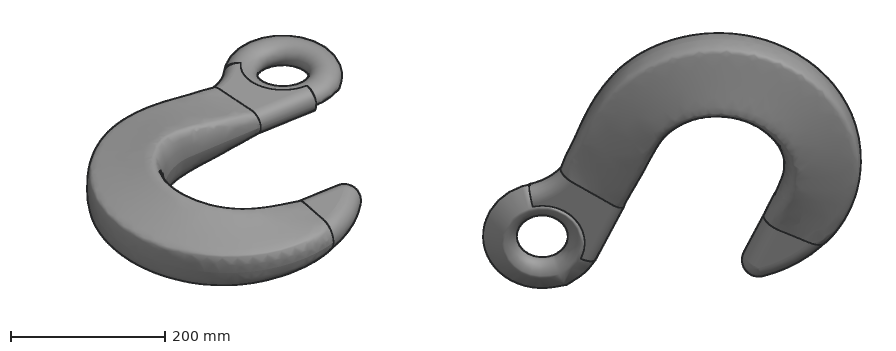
import cadquery as cq
import math


EYE_Y = 252.0
EYE_MAJOR_R = 55.0
EYE_HALF_WIDTH = 22.0
EYE_HALF_HEIGHT = 18.0
EYE_OUTER_R = EYE_MAJOR_R + EYE_HALF_WIDTH

BOWL_R = 85.0
BACK_R = 186.0
TIP_ARC_R = 174.0
TIP_ARC_CENTRE = (0.0, TIP_ARC_R - BACK_R)
BOWL_BOTTOM_ANGLE = 270.0

EYE_CENTRE = (0.0, EYE_Y)
BOWL_CENTRE = (0.0, 0.0)
TANGENT_ANGLE = math.degrees(math.asin((EYE_OUTER_R + BOWL_R) / EYE_Y))
SHANK_ANGLE = 180.0 - TANGENT_ANGLE
TIP_ANGLE = 360.0 - TANGENT_ANGLE

NECK_ROUND = EYE_HALF_HEIGHT
NECK_INNER_RUN = 106.0
NECK_BACK_POINT = (-80.5, 188.5)
NECK_EYE_ANGLE = 192.0

TIP_ROUND = 22.0
TIP_RUN = 44.0

ROUND_GAP = 0.05
POINT_TOLERANCE = 0.5

ELLIPSE_FULLNESS = 0.5523
NECK_CORNER = (NECK_ROUND, EYE_HALF_HEIGHT, ELLIPSE_FULLNESS)
TIP_CORNER = (TIP_ROUND, TIP_ROUND, ELLIPSE_FULLNESS)
SHANK_INNER_CORNER = (18.0, 27.5, 0.57)
SHANK_OUTER_CORNER = (14.0, 20.5, 0.62)
SHANK_BACK_OFFSET = 184.5
BOWL_INNER_WIDTH = 21.0
BOWL_INNER_FULLNESS = 0.60
BOWL_OUTER_CORNER = (10.0, 27.0, 0.75)

BOWL_STATIONS = (
    (SHANK_ANGLE, 36.5, (12.0, 24.0, 0.70)),
    (160.0, 41.5, (10.0, 26.0, 0.75)),
    (180.0, 45.0, BOWL_OUTER_CORNER),
    (202.5, 47.7, BOWL_OUTER_CORNER),
    (225.0, 48.3, BOWL_OUTER_CORNER),
    (247.5, 47.3, BOWL_OUTER_CORNER),
    (BOWL_BOTTOM_ANGLE, 44.0, BOWL_OUTER_CORNER),
    (295.0, 39.0, (12.0, 26.0, 0.70)),
    (TIP_ANGLE, 31.5, (16.0, 24.0, 0.62)),
)

CORNER_STEPS = (0.0, 0.25, 0.5, 0.75, 1.0)
FLAT_STEPS = (0.25, 0.5, 0.75)
INNER_SHARE = 0.33
OUTER_SHARE = 0.24
PROFILE_PARAMETERS = (
    [INNER_SHARE * t for t in CORNER_STEPS]
    + [INNER_SHARE + (1 - INNER_SHARE - OUTER_SHARE) * t for t in FLAT_STEPS]
    + [1 - OUTER_SHARE + OUTER_SHARE * t for t in CORNER_STEPS]
)
BACK_PARAMETERS = [1 - t for t in reversed(PROFILE_PARAMETERS)]


def polar(radius, angle, centre=BOWL_CENTRE):
    """Point at a radius and an angle in degrees about a centre."""
    a = math.radians(angle)
    return (centre[0] + radius * math.cos(a), centre[1] + radius * math.sin(a))


def along(point, direction, distance):
    """Point moved by a multiple of a direction."""
    return (point[0] + distance * direction[0], point[1] + distance * direction[1])


def midpoint(p, q):
    return ((p[0] + q[0]) / 2, (p[1] + q[1]) / 2)


def ray_to_circle(start, direction, centre, radius):
    """Point where a ray with a unit direction, starting inside a circle, leaves it."""
    dx, dy = start[0] - centre[0], start[1] - centre[1]
    b = dx * direction[0] + dy * direction[1]
    c = dx * dx + dy * dy - radius * radius
    return along(start, direction, -b + math.sqrt(b * b - c))


def point_on_arc(p, q, centre, radius):
    """Point halfway along the short arc from p to q."""
    m = midpoint(p, q)
    return polar(radius, math.degrees(math.atan2(m[1] - centre[1], m[0] - centre[0])), centre)


RUN = polar(1.0, 90.0 - TANGENT_ANGLE)
SHANK_TANGENT = polar(BOWL_R, SHANK_ANGLE)
NECK_INNER = along(SHANK_TANGENT, RUN, NECK_INNER_RUN)
TIP_TANGENT = polar(BOWL_R, TIP_ANGLE)
TIP_INNER = along(TIP_TANGENT, RUN, TIP_RUN)
TIP_OUTWARD = polar(1.0, TIP_ANGLE)
TIP_OUTER = ray_to_circle(TIP_INNER, TIP_OUTWARD, TIP_ARC_CENTRE, TIP_ARC_R)


def bowl_outer(angle):
    """Point of the bowl's outer outline at an angle about the bowl centre."""
    if angle <= BOWL_BOTTOM_ANGLE:
        return polar(BACK_R, angle)
    return ray_to_circle(BOWL_CENTRE, polar(1.0, angle), TIP_ARC_CENTRE, TIP_ARC_R)


def bezier(poles, t):
    """Point at parameter t of a planar cubic Bezier curve."""
    weights = ((1 - t) ** 3, 3 * t * (1 - t) ** 2, 3 * t * t * (1 - t), t ** 3)
    return tuple(sum(w * pole[i] for w, pole in zip(weights, poles)) for i in range(2))


def section(inner, outer, inner_size, outer_size):
    """Closed upright section from inner to outer; each size is a corner's (width, height, fullness)."""
    length = math.dist(inner, outer)
    axis = ((outer[0] - inner[0]) / length, (outer[1] - inner[1]) / length)
    wi, hi, fi = inner_size
    wo, ho, fo = outer_size
    slope = (ho - hi) / (length - wi - wo)

    crest = (wi, hi)
    shoulder = (length - wo, ho)
    inner_poles = [(0, 0), (0, fi * hi), (wi - fi * wi, hi - slope * fi * wi), crest]
    outer_poles = [shoulder, (length - wo + fo * wo, ho + slope * fo * wo), (length, fo * ho), (length, 0)]
    profile = [bezier(inner_poles, t) for t in CORNER_STEPS]
    profile += [along(crest, (length - wi - wo, ho - hi), t) for t in FLAT_STEPS]
    profile += [bezier(outer_poles, t) for t in CORNER_STEPS]

    upper = [cq.Vector(*along(inner, axis, u), z) for u, z in profile]
    lower = [cq.Vector(p.x, p.y, -p.z) for p in reversed(upper)]
    rise = cq.Vector(0, 0, 3 * fi * hi / INNER_SHARE)
    fall = cq.Vector(0, 0, -3 * fo * ho / OUTER_SHARE)
    upper_edge = cq.Edge.makeSpline(
        upper, tangents=[rise, fall], parameters=PROFILE_PARAMETERS, scale=False)
    lower_edge = cq.Edge.makeSpline(
        lower, tangents=[fall, rise], parameters=BACK_PARAMETERS, scale=False)
    return cq.Wire.assembleEdges([upper_edge, lower_edge])


def make_body():
    """Shank and bowl, lofted from the neck round to the tip."""
    shank_inner = midpoint(NECK_INNER, SHANK_TANGENT)
    shank_outer = along(polar(SHANK_BACK_OFFSET, SHANK_ANGLE), RUN, NECK_INNER_RUN / 2)
    sections = [
        section(NECK_INNER, NECK_BACK_POINT, NECK_CORNER, NECK_CORNER),
        section(shank_inner, shank_outer, SHANK_INNER_CORNER, SHANK_OUTER_CORNER),
    ]
    for angle, crest_height, outer_corner in BOWL_STATIONS:
        inner_corner = (BOWL_INNER_WIDTH, crest_height, BOWL_INNER_FULLNESS)
        sections.append(section(polar(BOWL_R, angle), bowl_outer(angle), inner_corner, outer_corner))
    sections.append(section(TIP_INNER, TIP_OUTER, TIP_CORNER, TIP_CORNER))
    return cq.Workplane(obj=cq.Solid.makeLoft(sections))


def make_eye():
    """Elliptical ring around a vertical axis."""
    return (
        cq.Workplane("XZ", origin=(0, EYE_Y, 0))
        .center(EYE_MAJOR_R, 0)
        .ellipse(EYE_HALF_WIDTH, EYE_HALF_HEIGHT)
        .revolve(360, (-EYE_MAJOR_R, 0, 0), (-EYE_MAJOR_R, 1, 0))
    )


def round_edges(plate, radius, points):
    """Fully round the top and bottom edges whose middles lie over the given outline points."""

    def is_wanted(edge):
        middle = edge.positionAt(0.5)
        on_outline = any(math.dist((middle.x, middle.y), p) < POINT_TOLERANCE for p in points)
        return on_outline and abs(middle.z) > radius / 2

    edges = [edge for edge in plate.edges().vals() if is_wanted(edge)]
    return plate.newObject(edges).fillet(radius - ROUND_GAP)


def make_neck():
    """Flat neck with a straight front edge and a hollow back edge, cleared for the ring."""
    eye_front = polar(EYE_OUTER_R, -TANGENT_ANGLE, EYE_CENTRE)
    eye_back = polar(EYE_OUTER_R, NECK_EYE_ANGLE, EYE_CENTRE)
    outward = polar(1.0, NECK_EYE_ANGLE)
    dx, dy = NECK_BACK_POINT[0] - eye_back[0], NECK_BACK_POINT[1] - eye_back[1]
    hollow_r = (dx * dx + dy * dy) / (2 * (dx * outward[0] + dy * outward[1]))
    hollow_mid = point_on_arc(eye_back, NECK_BACK_POINT, along(eye_back, outward, hollow_r), hollow_r)
    plate = (
        cq.Workplane("XY", origin=(0, 0, -EYE_HALF_HEIGHT))
        .moveTo(*EYE_CENTRE)
        .lineTo(*eye_front)
        .lineTo(*NECK_INNER)
        .lineTo(*NECK_BACK_POINT)
        .threePointArc(hollow_mid, eye_back)
        .close()
        .extrude(2 * EYE_HALF_HEIGHT)
    )
    plate = round_edges(plate, NECK_ROUND, [midpoint(eye_front, NECK_INNER), hollow_mid])
    opening = cq.Workplane("XY").center(*EYE_CENTRE).circle(EYE_MAJOR_R).extrude(EYE_HALF_WIDTH, both=True)
    return plate.cut(opening)


def make_tip():
    """Flat tip with a straight inner edge, a ball end and a curved outer edge."""
    offset_start = along(TIP_INNER, TIP_OUTWARD, TIP_ROUND)
    ball = ray_to_circle(offset_start, RUN, TIP_ARC_CENTRE, TIP_ARC_R - TIP_ROUND)
    line_end = along(ball, TIP_OUTWARD, -TIP_ROUND)
    ball_angle = math.degrees(math.atan2(ball[1] - TIP_ARC_CENTRE[1], ball[0] - TIP_ARC_CENTRE[0]))
    arc_start = polar(TIP_ARC_R, ball_angle, TIP_ARC_CENTRE)
    end_mid = polar(TIP_ROUND, (SHANK_ANGLE + ball_angle) / 2, ball)
    outer_mid = point_on_arc(arc_start, TIP_OUTER, TIP_ARC_CENTRE, TIP_ARC_R)
    plate = (
        cq.Workplane("XY", origin=(0, 0, -TIP_ROUND))
        .moveTo(*TIP_INNER)
        .lineTo(*line_end)
        .threePointArc(end_mid, arc_start)
        .threePointArc(outer_mid, TIP_OUTER)
        .close()
        .extrude(2 * TIP_ROUND)
    )
    return round_edges(plate, TIP_ROUND, [midpoint(TIP_INNER, line_end), end_mid, outer_mid])


result = make_body().union(make_neck()).union(make_eye()).union(make_tip())